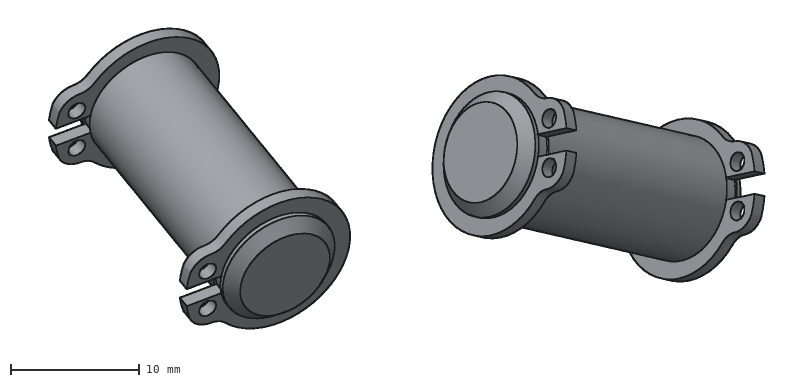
import cadquery as cq
import math

pin_length = 25.0
pin_radius = 5.0
chamfer = 1.0
groove_depth = 0.2

ring_thickness = 1.12
ring_inset = 1.4
ring_radius = 6.38
ring_offset = 0.22

lug_tip = 8.0
gap_half = 0.9
hole_radius = 0.75
hole_out = 6.12
hole_height = 1.98
lug_top = 3.65
corner_height = 2.48
neck_radius = 1.75


def polar(center, radius, angle):
    """Point on a circle, as (distance toward -Y, height)."""
    return (center[0] + radius * math.cos(angle), center[1] + radius * math.sin(angle))


def on_circle_at_height(center, radius, height):
    """Point of the circle on its -Y side at the given height."""
    return (center[0] + math.sqrt(radius**2 - (height - center[1]) ** 2), height)


def make_ring(x_start):
    """One ring with two lugs, starting at x_start; sketched as (distance toward -Y, Z)."""
    ring_center = (-ring_offset, 0.0)
    hole_center = (hole_out, hole_height)

    neck_height = lug_top + neck_radius
    center_distance = ring_radius + neck_radius
    neck_angle = math.asin(neck_height / center_distance)
    neck_center = polar(ring_center, center_distance, neck_angle)
    neck_start = polar(ring_center, ring_radius, neck_angle)
    neck_mid = polar(neck_center, neck_radius, (neck_angle + math.pi + 1.5 * math.pi) / 2)
    neck_end = (neck_center[0], lug_top)

    end_radius = math.hypot(lug_tip + ring_offset, gap_half)
    corner_end = on_circle_at_height(ring_center, end_radius, corner_height)
    corner_run = corner_end[0] - neck_end[0]
    corner_drop = lug_top - corner_height
    corner_radius = (corner_run**2 + corner_drop**2) / (2 * corner_drop)
    corner_center = (neck_end[0], lug_top - corner_radius)
    corner_end_angle = math.asin((corner_height - corner_center[1]) / corner_radius)
    corner_mid = polar(corner_center, corner_radius, (corner_end_angle + math.pi / 2) / 2)

    end_mid = on_circle_at_height(ring_center, end_radius, (corner_height + gap_half) / 2)
    tip = (lug_tip, gap_half)

    def below(point):
        return (point[0], -point[1])

    plane = cq.Plane(origin=(x_start + ring_thickness, 0, 0), xDir=(0, -1, 0), normal=(-1, 0, 0))
    body = (
        cq.Workplane(plane)
        .moveTo(*neck_start)
        .threePointArc(neck_mid, neck_end)
        .threePointArc(corner_mid, corner_end)
        .threePointArc(end_mid, tip)
        .lineTo(0, gap_half)
        .lineTo(0, -gap_half)
        .lineTo(*below(tip))
        .threePointArc(below(end_mid), below(corner_end))
        .threePointArc(below(corner_mid), below(neck_end))
        .threePointArc(below(neck_mid), below(neck_start))
        .threePointArc((-ring_offset - ring_radius, 0), neck_start)
        .close()
        .extrude(ring_thickness)
    )
    holes = (
        cq.Workplane(plane)
        .pushPoints([hole_center, below(hole_center)])
        .circle(hole_radius)
        .extrude(ring_thickness)
    )
    return body.cut(holes)


pin = (
    cq.Workplane("YZ", origin=(-pin_length / 2, 0, 0))
    .circle(pin_radius)
    .extrude(pin_length)
    .faces("<X or >X")
    .chamfer(chamfer)
)

left_ring_start = -pin_length / 2 + ring_inset
right_ring_start = pin_length / 2 - ring_inset - ring_thickness
result = pin
for ring_start in (left_ring_start, right_ring_start):
    groove = (
        cq.Workplane("YZ", origin=(ring_start, 0, 0))
        .circle(pin_radius)
        .circle(pin_radius - groove_depth)
        .extrude(ring_thickness)
    )
    result = result.cut(groove).union(make_ring(ring_start))